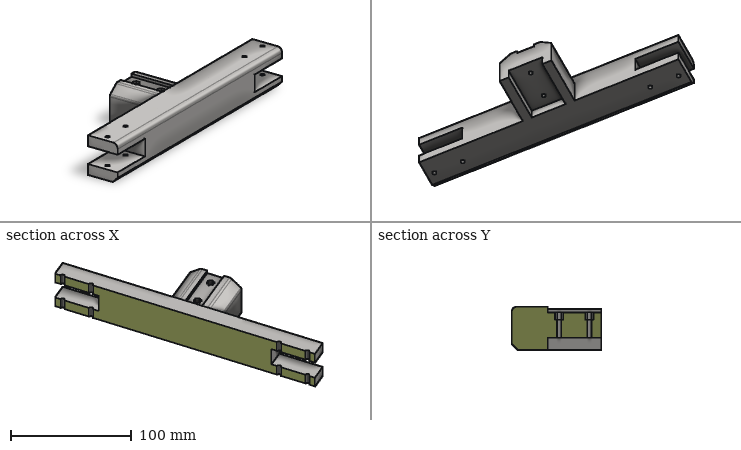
import cadquery as cq

INCH = 25.4

bar_width = 30.0
bar_length = 9.375 * INCH
bar_height = 36.03
slab_thickness = 10.0
core_length = 6.25 * INCH
top_edge_radius = 4.6
bottom_edge_chamfer = 5.0

bar_hole_diameter = 3.4
bar_hole_end_offsets = (7.0, 33.0)

block_length = 1.75 * INCH
block_width = 1.875 * INCH
block_top_drop = 2.0
shoulder_width = 10.25
shoulder_radius = 2.5
crest_radius = 3.5
slot_width = 15.4
slot_depth = 2.75
channel_width = 31.0
channel_height = slab_thickness

block_hole_diameter = 3.26
block_hole_first_offset = 10.0
block_hole_spacing = 25.0
nut_across_corners = 6.6
nut_recess_depth = 6.0

block_height = bar_height - block_top_drop
shoulder_height = bar_height - slab_thickness
slot_floor = block_height - slot_depth


def make_crossbar():
    """Slabs and core, with the long outer edges on +X rounded above and bevelled below."""
    bar = cq.Workplane("XY").box(bar_width, bar_length, bar_height, centered=(False, True, False))
    bar = bar.edges(">X and >Z").fillet(top_edge_radius)
    bar = bar.edges(">X and <Z").chamfer(bottom_edge_chamfer)

    gap_length = (bar_length - core_length) / 2
    gap_height = bar_height - 2 * slab_thickness
    for side in (-1, 1):
        gap_center = side * (core_length + gap_length) / 2
        gap = (
            cq.Workplane("XY")
            .box(bar_width, gap_length, gap_height, centered=(False, True, False))
            .translate((0, gap_center, slab_thickness))
        )
        bar = bar.cut(gap)
    return bar


def drill_bar_holes(bar):
    """Holes on the bar's centreline, mirrored about its middle."""
    points = []
    for side in (-1, 1):
        for end_offset in bar_hole_end_offsets:
            points.append((bar_width / 2, side * (bar_length / 2 - end_offset)))
    holes = cq.Workplane("XY").pushPoints(points).circle(bar_hole_diameter / 2).extrude(bar_height)
    return bar.cut(holes)


def make_block():
    """Block with sloped shoulders, a shallow slot on top and a channel underneath."""
    half_width = block_width / 2
    top_half_width = half_width - shoulder_width
    outline = [
        (-half_width, 0),
        (half_width, 0),
        (half_width, shoulder_height),
        (top_half_width, block_height),
        (-top_half_width, block_height),
        (-half_width, shoulder_height),
    ]
    block = cq.Workplane("YZ").polyline(outline).close().extrude(-block_length)
    block = block.edges("|X and >Z").fillet(crest_radius)
    shoulder_edges = cq.selectors.BoxSelector(
        (-block_length, -block_width, shoulder_height - shoulder_radius / 2),
        (0, block_width, shoulder_height + shoulder_radius / 2),
    )
    block = block.edges("|X").edges(shoulder_edges).fillet(shoulder_radius)

    slot = (
        cq.Workplane("YZ")
        .center(0, slot_floor + slot_depth / 2)
        .rect(slot_width, slot_depth)
        .extrude(-block_length)
    )
    channel = (
        cq.Workplane("YZ")
        .center(0, channel_height / 2)
        .rect(channel_width, channel_height)
        .extrude(-block_length)
    )
    return block.cut(slot).cut(channel)


def drill_block_holes(block):
    """Screw holes from the slot to the channel, with nut recesses sunk into the slot floor."""
    first_x = -block_length + block_hole_first_offset
    points = [(first_x, 0), (first_x + block_hole_spacing, 0)]
    holes = cq.Workplane("XY").pushPoints(points).circle(block_hole_diameter / 2).extrude(block_height)
    recesses = (
        cq.Workplane("XY")
        .workplane(offset=slot_floor)
        .pushPoints(points)
        .polygon(6, nut_across_corners)
        .extrude(-nut_recess_depth)
    )
    return block.cut(holes).cut(recesses)


crossbar = drill_bar_holes(make_crossbar())
block = drill_block_holes(make_block())
result = crossbar.union(block)